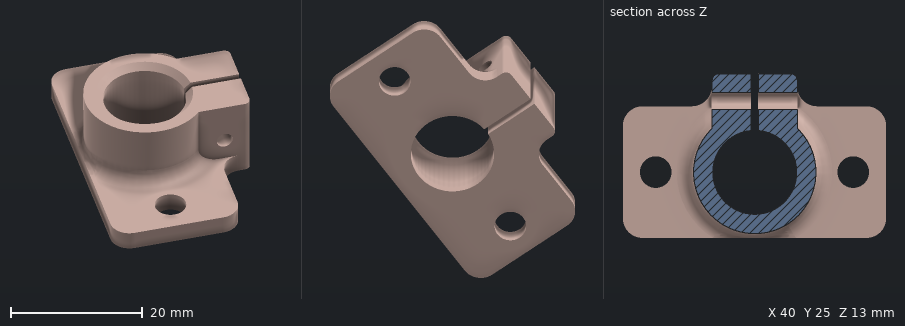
import cadquery as cq

plate_length = 40.0
plate_width = 20.0
plate_thickness = 3.0
plate_corner_radius = 3.0
mount_hole_diameter = 4.8
mount_hole_spacing = 30.0

total_height = 13.0
bore_diameter = 12.7
collar_wall = 3.0
collar_diameter = bore_diameter + 2 * collar_wall
bore_chamfer = 1.0
base_fillet = 2.5

ear_width = 13.0
ear_reach = 15.0
ear_corner_radius = 1.0
ear_root_radius = 3.0
slot_width = 1.0
screw_hole_diameter = 2.5
screw_hole_y = 10.85
screw_hole_z = total_height / 2


def make_flanged_collar():
    """Plate and collar, blended where the collar meets the plate."""
    plate = (
        cq.Workplane("XY")
        .rect(plate_length, plate_width)
        .extrude(plate_thickness)
        .edges("|Z")
        .fillet(plate_corner_radius)
    )
    collar = cq.Workplane("XY").circle(collar_diameter / 2).extrude(total_height)
    joint_tolerance = 0.05
    joint_zone = cq.selectors.BoxSelector(
        (-collar_diameter / 2, -collar_diameter / 2, plate_thickness - joint_tolerance),
        (collar_diameter / 2, collar_diameter / 2, plate_thickness + joint_tolerance),
    )
    return plate.union(collar).edges(joint_zone).fillet(base_fillet)


def make_ears():
    """Full-height block reaching from the collar centre past the plate edge."""
    return (
        cq.Workplane("XY")
        .rect(ear_width, ear_reach, centered=(True, False))
        .extrude(total_height)
        .edges("|Z and >Y")
        .fillet(ear_corner_radius)
    )


def make_ear_root(side):
    """Concave web of plate thickness between the plate edge and one ear."""
    ear_x = side * ear_width / 2
    edge_y = plate_width / 2
    return (
        cq.Workplane("XY")
        .moveTo(ear_x, edge_y)
        .lineTo(ear_x, edge_y + ear_root_radius)
        .radiusArc((ear_x + side * ear_root_radius, edge_y), -side * ear_root_radius)
        .close()
        .extrude(plate_thickness)
    )


def make_bore():
    """Through bore with a chamfered mouth, revolved from the slot side."""
    bore_radius = bore_diameter / 2
    mouth_radius = bore_radius + bore_chamfer
    return (
        cq.Workplane("YZ")
        .moveTo(0, 0)
        .lineTo(bore_radius, 0)
        .lineTo(bore_radius, total_height - bore_chamfer)
        .lineTo(mouth_radius, total_height)
        .lineTo(0, total_height)
        .close()
        .revolve(360, (0, 0), (0, 1))
    )


body = make_flanged_collar().union(make_ears())
for side in (-1, 1):
    body = body.union(make_ear_root(side))

mount_holes = (
    cq.Workplane("XY")
    .pushPoints([(-mount_hole_spacing / 2, 0), (mount_hole_spacing / 2, 0)])
    .circle(mount_hole_diameter / 2)
    .extrude(plate_thickness)
)
slot = (
    cq.Workplane("XY")
    .rect(slot_width, ear_reach, centered=(True, False))
    .extrude(total_height)
)
screw_hole = (
    cq.Workplane("YZ")
    .center(screw_hole_y, screw_hole_z)
    .circle(screw_hole_diameter / 2)
    .extrude(ear_width, both=True)
)

result = body.cut(make_bore()).cut(mount_holes).cut(slot).cut(screw_hole)